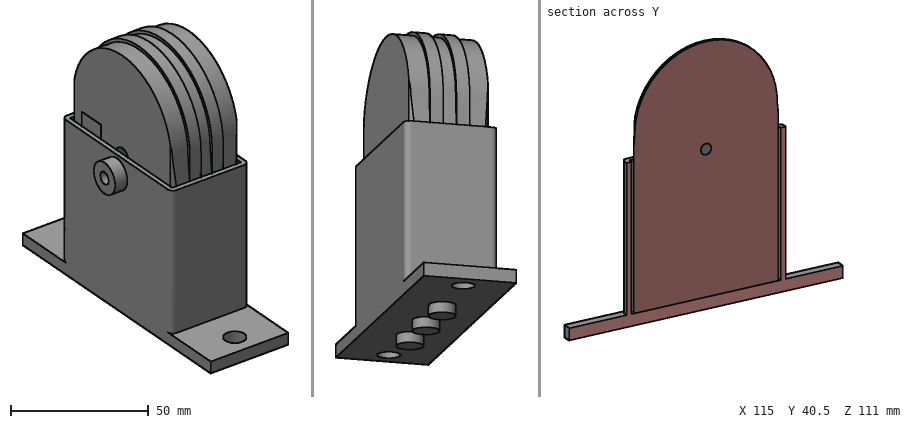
import cadquery as cq
import math

base_length = 115.0
depth = 35.0
base_thickness = 5.0
mount_hole_diameter = 8.5
mount_hole_spacing = 97.0

box_length = 67.0
box_top = 65.0
end_wall = 2.25
side_wall = 2.0
box_corner_radius = 2.3
cavity_length = box_length - 2 * end_wall
cavity_depth = depth - 2 * side_wall
cavity_corner_radius = box_corner_radius - side_wall

boss_diameter = 13.0
boss_hole_diameter = 5.0
boss_length = 5.5
boss_height = 57.0

block_depth = 30.0
block_top_radius = 30.0
rib_radius = cavity_length / 2
rib_width = 5.0
rib_spacing = 10.0
block_top = 107.0
arc_center_height = block_top - rib_radius
side_draft = 5.0
draft_height = (rib_radius - block_top_radius) / math.tan(math.radians(side_draft))
draft_end_height = arc_center_height - draft_height
face_half_length = 29.4
corner_chamfer = rib_radius - face_half_length

label_left = -24.75
label_length = 11.75
label_top = 70.5
label_height = 11.75
label_recess = 0.1
dimple_diameter = 7.4
dimple_height = 63.2
dimple_depth = 2.3

plug_diameter = 10.0
plug_spacing = 21.0
plug_count = 3
plug_projection = 4.0
plug_positions = [((i - (plug_count - 1) / 2) * plug_spacing, 0) for i in range(plug_count)]


def make_housing():
    """Base plate with an open-topped box, a hollow boss and holes for screws and plugs."""
    base = cq.Workplane("XY").box(base_length, depth, base_thickness, centered=(True, True, False))
    box = (
        cq.Workplane("XY")
        .workplane(offset=base_thickness)
        .rect(box_length, depth)
        .extrude(box_top - base_thickness)
        .edges("|Z")
        .fillet(box_corner_radius)
    )
    cavity = (
        cq.Workplane("XY")
        .workplane(offset=base_thickness)
        .rect(cavity_length, cavity_depth)
        .extrude(box_top - base_thickness)
        .edges("|Z")
        .fillet(cavity_corner_radius)
    )
    front_wall = cq.Workplane("XZ", origin=(0, -depth / 2, boss_height))
    boss = front_wall.circle(boss_diameter / 2).extrude(boss_length)
    boss_hole = (
        front_wall.workplane(offset=-side_wall)
        .circle(boss_hole_diameter / 2)
        .extrude(side_wall + boss_length)
    )
    mount_holes = (
        cq.Workplane("XY")
        .pushPoints([(-mount_hole_spacing / 2, 0), (mount_hole_spacing / 2, 0)])
        .circle(mount_hole_diameter / 2)
        .extrude(base_thickness)
    )
    plug_holes = (
        cq.Workplane("XY")
        .pushPoints(plug_positions)
        .circle(plug_diameter / 2)
        .extrude(base_thickness)
    )
    return base.union(box).cut(cavity).union(boss).cut(boss_hole).cut(mount_holes).cut(plug_holes)


def make_block_core():
    """Round-topped block whose sides widen downward to the cavity length."""
    core = (
        cq.Workplane("XZ", origin=(0, block_depth / 2, 0))
        .moveTo(-rib_radius, base_thickness)
        .lineTo(-rib_radius, draft_end_height)
        .lineTo(-block_top_radius, arc_center_height)
        .threePointArc((0, arc_center_height + block_top_radius), (block_top_radius, arc_center_height))
        .lineTo(rib_radius, draft_end_height)
        .lineTo(rib_radius, base_thickness)
        .close()
        .extrude(block_depth)
    )
    chamfered_prism = (
        cq.Workplane("XY")
        .rect(2 * rib_radius, block_depth)
        .extrude(block_top)
        .edges("|Z")
        .chamfer(corner_chamfer)
    )
    return core.intersect(chamfered_prism)


def make_rib(center_y):
    """Round-topped rib running around the block."""
    return (
        cq.Workplane("XZ", origin=(0, center_y + rib_width / 2, 0))
        .moveTo(-rib_radius, base_thickness)
        .lineTo(-rib_radius, arc_center_height)
        .threePointArc((0, block_top), (rib_radius, arc_center_height))
        .lineTo(rib_radius, base_thickness)
        .close()
        .extrude(rib_width)
    )


def make_block():
    """Sliding block with two ribs, a shallow label recess and a conical dimple."""
    block = make_block_core()
    for center_y in (-rib_spacing / 2, rib_spacing / 2):
        block = block.union(make_rib(center_y))
    label = cq.Workplane("XY").box(label_length, label_recess, label_height, centered=False)
    label = label.translate((label_left, -block_depth / 2, label_top - label_height))
    dimple = cq.Workplane(
        cq.Solid.makeCone(
            dimple_diameter / 2,
            0,
            dimple_depth,
            pnt=cq.Vector(0, -block_depth / 2, dimple_height),
            dir=cq.Vector(0, 1, 0),
        )
    )
    return block.cut(label).cut(dimple)


def make_plugs():
    """Plugs through the base plate that stand out below it."""
    return (
        cq.Workplane("XY")
        .workplane(offset=-plug_projection)
        .pushPoints(plug_positions)
        .circle(plug_diameter / 2)
        .extrude(plug_projection + base_thickness)
    )


housing = make_housing()
block = make_block()
plugs = make_plugs()

result = cq.Compound.makeCompound([housing.val(), block.val(), *plugs.vals()])